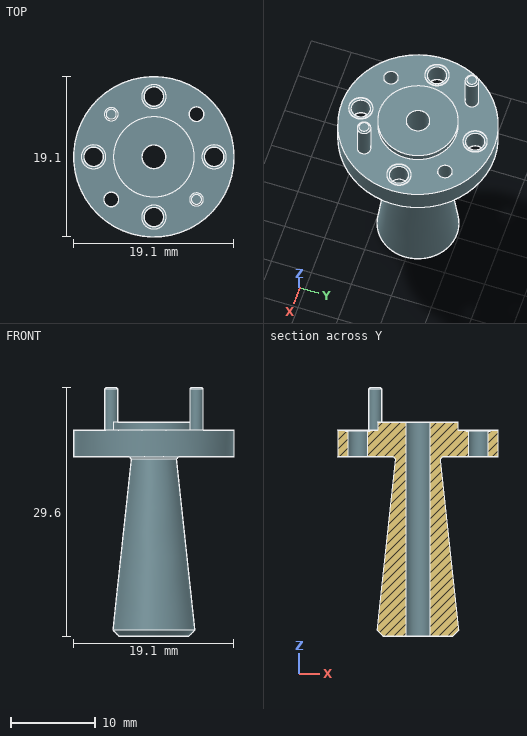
import cadquery as cq
import math

total_height = 29.55
flange_thickness = 3.15
flange_bottom = 21.3
flange_top = flange_bottom + flange_thickness
pilot_height = 0.95
pilot_top = flange_top + pilot_height

flange_diameter = 19.05
pilot_diameter = 9.55
bore_diameter = 2.78

mouth_radius = 4.87
mouth_chamfer_width = 0.75
mouth_chamfer_height = 0.75
neck_radius = 2.7
neck_chamfer = 0.27

pitch_radius = 7.15
bolt_hole_diameter = 2.27
counterbore_diameter = 2.87
counterbore_depth = 0.12
dowel_hole_diameter = 1.7
pin_diameter = 1.6
pin_chamfer = 0.2

bolt_angles = (0, 90, 180, 270)
dowel_hole_angles = (45, 225)
pin_angles = (135, 315)


def pitch_points(angles):
    """Centres on the pitch circle at the given angles in degrees."""
    return [
        (pitch_radius * math.cos(math.radians(a)), pitch_radius * math.sin(math.radians(a)))
        for a in angles
    ]


def make_body():
    """Revolve the horn, flange and pilot disc as one half profile."""
    profile = [
        (0, 0),
        (mouth_radius - mouth_chamfer_width, 0),
        (mouth_radius, mouth_chamfer_height),
        (neck_radius, flange_bottom - neck_chamfer),
        (neck_radius + neck_chamfer, flange_bottom),
        (flange_diameter / 2, flange_bottom),
        (flange_diameter / 2, flange_top),
        (pilot_diameter / 2, flange_top),
        (pilot_diameter / 2, pilot_top),
        (0, pilot_top),
    ]
    return cq.Workplane("XZ").polyline(profile).close().revolve(360, (0, 0), (0, 1))


def make_cylinders(points, diameter, bottom, top):
    """Vertical cylinders at the given points."""
    plane = cq.Workplane("XY").workplane(offset=bottom)
    return plane.pushPoints(points).circle(diameter / 2).extrude(top - bottom)


def make_bolt_cutters():
    """Bolt holes through the flange, with shallow counterbores in the top face."""
    points = pitch_points(bolt_angles)
    holes = make_cylinders(points, bolt_hole_diameter, flange_bottom, flange_top)
    counterbores = make_cylinders(
        points, counterbore_diameter, flange_top - counterbore_depth, flange_top
    )
    return holes.union(counterbores)


def make_pins():
    """Dowel pins with chamfered tips, seated through the flange."""
    pins = make_cylinders(pitch_points(pin_angles), pin_diameter, flange_bottom, total_height)
    return pins.faces(">Z").chamfer(pin_chamfer)


bore = make_cylinders([(0, 0)], bore_diameter, 0, pilot_top)
dowel_holes = make_cylinders(
    pitch_points(dowel_hole_angles), dowel_hole_diameter, flange_bottom, flange_top
)

result = make_body().cut(bore).cut(make_bolt_cutters()).cut(dowel_holes).union(make_pins())